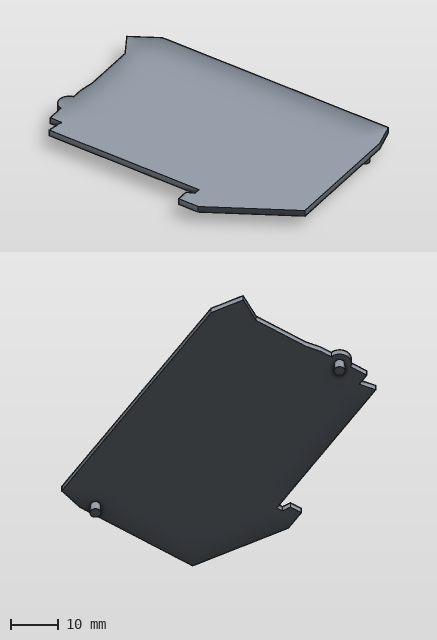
import cadquery as cq
import math

length = 65.0
width = 45.2
height = 4.0
plate_thickness = 1.5

ear_length = 6.5
ear_angle = 30.0
right_corner_run = 1.55
right_corner_drop = 5.65

left_edge_x = 3.05
taper_top_y = 23.7
taper_bottom_y = 20.3
draft_angle = 10.0
step_y = 8.7
step_length = 2.85

lobe_x = 3.0
lobe_y = 15.2
lobe_radius = 2.5

bottom_edge_y = 5.0
hook_notch_x = 42.4
hook_notch_y = 3.6
hook_tip_x = 40.6
hook_tip_y = 2.7
hook_base_end_x = 45.55
lower_right_angle = 30.0

pin_base_diameter = 2.15
pin_tip_diameter = 2.3
right_pin_x = 62.8
right_pin_y = 37.1


def slope(degrees):
    return math.tan(math.radians(degrees))


def make_plate():
    ear_tip_y = width - ear_length * slope(ear_angle)
    ear_root_y = ear_tip_y - left_edge_x / slope(ear_angle)
    lower_left_x = left_edge_x - (taper_top_y - taper_bottom_y) * slope(draft_angle)
    lobe_half_chord = math.sqrt(lobe_radius**2 - (lobe_x - lower_left_x) ** 2)
    step_x = lower_left_x + step_length
    bottom_left_x = step_x - (step_y - bottom_edge_y) * slope(draft_angle)
    lower_right_y = (length - hook_base_end_x) * slope(lower_right_angle)

    return (
        cq.Workplane("XY", origin=(0, 0, height - plate_thickness))
        .moveTo(length, width - right_corner_drop)
        .lineTo(length - right_corner_run, width)
        .lineTo(ear_length, width)
        .lineTo(0, ear_tip_y)
        .lineTo(left_edge_x, ear_root_y)
        .lineTo(left_edge_x, taper_top_y)
        .lineTo(lower_left_x, taper_bottom_y)
        .lineTo(lower_left_x, lobe_y + lobe_half_chord)
        .threePointArc(
            (lobe_x - lobe_radius, lobe_y),
            (lower_left_x, lobe_y - lobe_half_chord),
        )
        .lineTo(lower_left_x, step_y)
        .lineTo(step_x, step_y)
        .lineTo(bottom_left_x, bottom_edge_y)
        .lineTo(hook_notch_x, bottom_edge_y)
        .lineTo(hook_notch_x, hook_notch_y)
        .lineTo(hook_tip_x, hook_tip_y)
        .lineTo(hook_tip_x, 0)
        .lineTo(hook_base_end_x, 0)
        .lineTo(length, lower_right_y)
        .close()
        .extrude(plate_thickness)
    )


def make_pin(x, y):
    pin_length = height - plate_thickness
    return (
        cq.Workplane("XY", origin=(x, y, 0))
        .circle(pin_tip_diameter / 2)
        .workplane(offset=pin_length)
        .circle(pin_base_diameter / 2)
        .loft()
    )


result = make_plate()
for pin_x, pin_y in [(lobe_x, lobe_y), (right_pin_x, right_pin_y)]:
    result = result.union(make_pin(pin_x, pin_y))